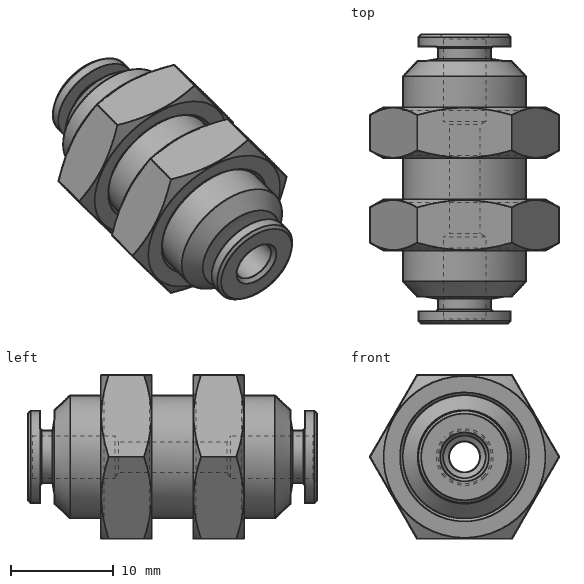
import cadquery as cq
import math


length = 28.2
half_length = length / 2

body_diameter = 12.0
shoulder_diameter = 9.15
shoulder_lip_diameter = 7.5
shoulder_offset = 2.6
cone_offset = 4.12
lip_offset = 2.4

collar_diameter = 9.0
collar_thickness = 1.2
collar_chamfer = 0.28
neck_diameter = 5.2
neck_chamfer = 0.17

through_diameter = 3.0
tube_diameter = 4.15
tube_depth = 8.45
mouth_width = 0.3
mouth_depth = 0.45
seat_angle = math.radians(30)
seat_length = (tube_diameter - through_diameter) / 2 * math.tan(seat_angle)

nut_across_flats = 16.0
nut_across_corners = nut_across_flats / math.cos(math.pi / 6)
nut_thickness = 5.0
nut_gap = 4.0
nut_face_diameter = 15.75
nut_chamfer_angle = math.radians(30)
nut_recess_diameter = 12.58
nut_recess_depth = (nut_recess_diameter - body_diameter) / 2


def revolve_profile(points):
    """Revolve (radius, y) points around the Y axis."""
    return cq.Workplane("XY").polyline(points).close().revolve(360, (0, 0, 0), (0, 1, 0))


def mirrored_profile(upper_points):
    """Complete a +Y half profile, listed from the end to the middle, with its mirror."""
    return upper_points + [(radius, -y) for radius, y in reversed(upper_points)]


def make_body():
    collar_inner_y = half_length - collar_thickness
    upper_points = [
        (0, half_length),
        (collar_diameter / 2 - collar_chamfer, half_length),
        (collar_diameter / 2, half_length - collar_chamfer),
        (collar_diameter / 2, collar_inner_y),
        (neck_diameter / 2 + neck_chamfer, collar_inner_y),
        (neck_diameter / 2, collar_inner_y - neck_chamfer),
        (neck_diameter / 2, half_length - lip_offset),
        (shoulder_lip_diameter / 2, half_length - shoulder_offset),
        (shoulder_diameter / 2, half_length - shoulder_offset),
        (body_diameter / 2, half_length - cone_offset),
    ]
    return revolve_profile(mirrored_profile(upper_points))


def make_bore():
    tube_end_y = half_length - tube_depth
    upper_points = [
        (0, half_length),
        (tube_diameter / 2 + mouth_width, half_length),
        (tube_diameter / 2, half_length - mouth_depth),
        (tube_diameter / 2, tube_end_y),
        (through_diameter / 2, tube_end_y - seat_length),
    ]
    return revolve_profile(mirrored_profile(upper_points))


def make_nut(center_y):
    half_thickness = nut_thickness / 2
    hexagon = (
        cq.Workplane("XZ")
        .polygon(6, nut_across_corners)
        .extrude(half_thickness, both=True)
    )
    corner_radius = nut_across_corners / 2
    face_radius = nut_face_diameter / 2
    chamfer_depth = (corner_radius - face_radius) * math.tan(nut_chamfer_angle)
    chamfer_envelope = revolve_profile(mirrored_profile([
        (0, half_thickness),
        (face_radius, half_thickness),
        (corner_radius, half_thickness - chamfer_depth),
    ]))
    thread_hole = revolve_profile(mirrored_profile([
        (0, half_thickness),
        (nut_recess_diameter / 2, half_thickness),
        (body_diameter / 2, half_thickness - nut_recess_depth),
    ]))
    nut = hexagon.intersect(chamfer_envelope).cut(thread_hole)
    return nut.translate((0, center_y, 0))


nut_center_y = (nut_gap + nut_thickness) / 2

result = make_body()
for side in (1, -1):
    result = result.union(make_nut(side * nut_center_y))
result = result.cut(make_bore())